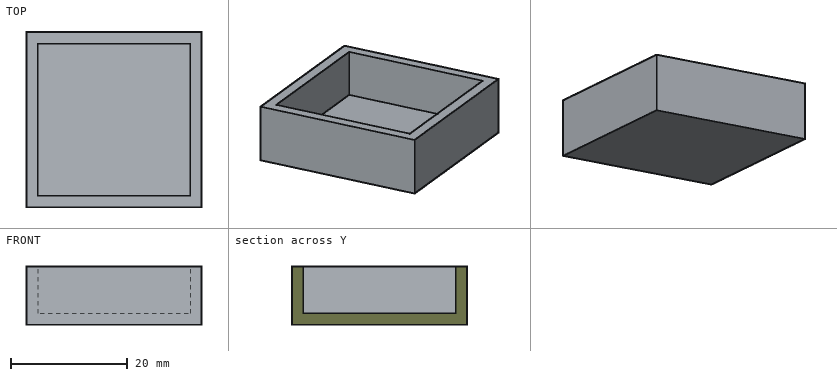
import cadquery as cq

side = 30.0
height = side / 3
wall = side / 15

block = cq.Workplane("XY").box(side, side, height, centered=(True, True, False))

pocket_side = side - 2 * wall
pocket_depth = height - wall
result = block.faces(">Z").workplane().rect(pocket_side, pocket_side).cutBlind(-pocket_depth)